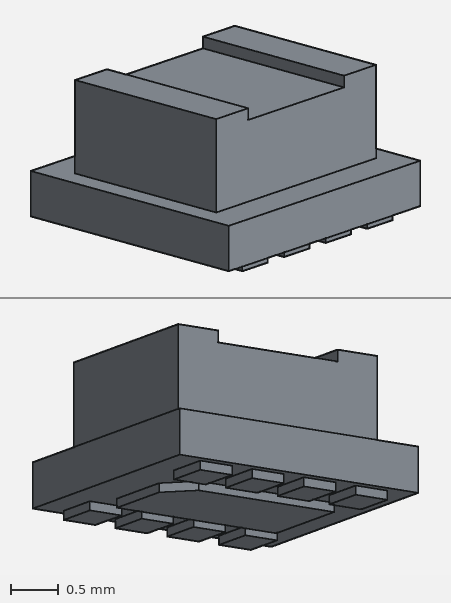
import cadquery as cq

base_x = 2.8
base_y = 3.0
base_thickness = 0.5

total_height = 1.63
body_x = 1.995
body_y = 2.502
channel_width = 1.5
channel_depth = 0.13

pad_thickness = 0.1
pad_x = 0.5
pad_y = 0.4
pad_pitch = 0.65
pads_per_side = 4
pad_edge_margin = 0.1

center_pad_x = 1.1
center_pad_y = 2.0
center_pad_chamfer = 0.3

base_top = pad_thickness + base_thickness
body_height = total_height - base_top
pad_row_offset = base_x / 2 - pad_edge_margin - pad_x / 2


def block(size_x, size_y, height, bottom):
    """Box centred on the Z axis, standing on the given level."""
    return cq.Workplane("XY").workplane(offset=bottom).rect(size_x, size_y).extrude(height)


def make_body():
    body = block(body_x, body_y, body_height, base_top)
    channel = block(body_x, channel_width, channel_depth, total_height - channel_depth)
    return body.cut(channel)


def make_side_pads():
    """Two rows of pads along the -X and +X sides."""
    return (
        cq.Workplane("XY")
        .rarray(2 * pad_row_offset, pad_pitch, 2, pads_per_side)
        .rect(pad_x, pad_y)
        .extrude(pad_thickness)
    )


def make_center_pad():
    """Central pad with its -X, +Y corner chamfered."""
    pad = block(center_pad_x, center_pad_y, pad_thickness, 0)
    return pad.edges("|Z").edges("<X").edges(">Y").chamfer(center_pad_chamfer)


result = (
    block(base_x, base_y, base_thickness, pad_thickness)
    .union(make_body())
    .union(make_side_pads())
    .union(make_center_pad())
)